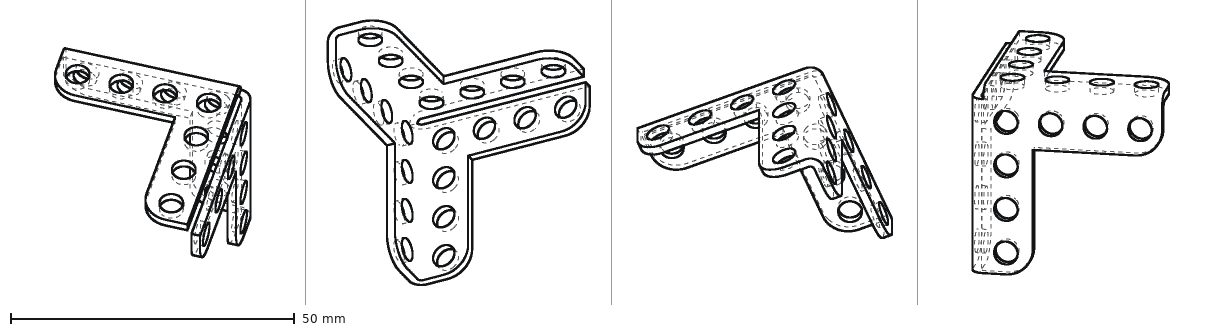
import cadquery as cq

SIZE = 34.4
THICKNESS = 1.6
BEND_OUTER = 2.35
BEND_INNER = BEND_OUTER - THICKNESS
ARM_WIDTH = 11.2
END_RADIUS = 4.8
HOLE_DIAMETER = 4.2
HOLE_PITCH = 8.0
HOLE_OFFSET = 6.4
HOLES_PER_ARM = 4

FLAT = SIZE - BEND_OUTER
INNER_EDGE = SIZE - ARM_WIDTH
CORNER_HOLE = SIZE - HOLE_OFFSET


def l_plate(plane):
    """L-shaped plate with its square corner at (FLAT, FLAT), extruded by the sheet thickness."""
    outline = (
        cq.Workplane(plane)
        .moveTo(FLAT, FLAT)
        .lineTo(0, FLAT)
        .lineTo(0, INNER_EDGE + END_RADIUS)
        .radiusArc((END_RADIUS, INNER_EDGE), -END_RADIUS)
        .lineTo(INNER_EDGE, INNER_EDGE)
        .lineTo(INNER_EDGE, END_RADIUS)
        .radiusArc((INNER_EDGE + END_RADIUS, 0), -END_RADIUS)
        .lineTo(FLAT, 0)
        .close()
    )
    steps = [CORNER_HOLE - i * HOLE_PITCH for i in range(HOLES_PER_ARM)]
    centers = [(s, CORNER_HOLE) for s in steps] + [(CORNER_HOLE, s) for s in steps[1:]]
    holes = cq.Workplane(plane).pushPoints(centers).circle(HOLE_DIAMETER / 2).extrude(THICKNESS)
    return outline.extrude(THICKNESS).cut(holes)


def bend(plane):
    """Quarter-round bend strip along the flat length of a plate edge."""
    ring = (
        cq.Workplane(plane)
        .center(FLAT, FLAT)
        .circle(BEND_OUTER)
        .circle(BEND_INNER)
        .extrude(FLAT)
    )
    quadrant = (
        cq.Workplane(plane)
        .center(FLAT, FLAT)
        .rect(BEND_OUTER, BEND_OUTER, centered=False)
        .extrude(FLAT)
    )
    return ring.intersect(quadrant)


INNER_FACE = SIZE - THICKNESS
top_plane = cq.Plane(origin=(0, 0, INNER_FACE), xDir=(1, 0, 0), normal=(0, 0, 1))
back_plane = cq.Plane(origin=(0, INNER_FACE, 0), xDir=(0, 0, 1), normal=(0, 1, 0))
side_plane = cq.Plane(origin=(INNER_FACE, 0, 0), xDir=(0, 1, 0), normal=(1, 0, 0))

result = (
    l_plate(back_plane)
    .union(l_plate(top_plane))
    .union(l_plate(side_plane))
    .union(bend("YZ"))
    .union(bend("XY"))
)